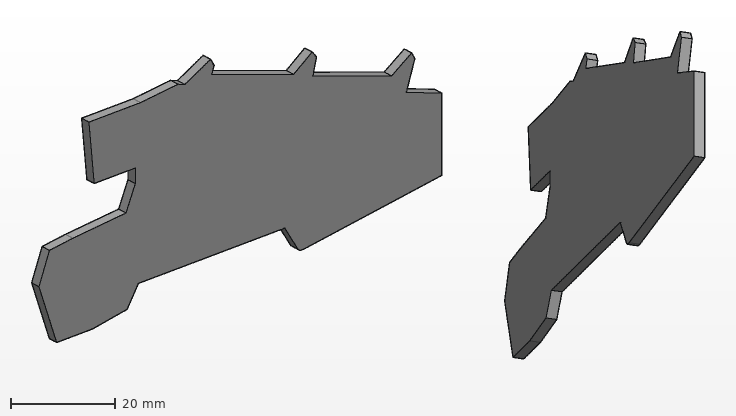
import cadquery as cq

thickness = 2.2
length = 100.9
height = 48.3

roof_z = 44.7
mouth_top_z = 31.1
mouth_back_y = 24.1
belly_z = 6.1

rear_edge = [(length, 4.6), (length, 22.3)]

rear_spine = [(92.0, 25.3), (94.1, 31.9), (93.3, 33.4), (88.3, 30.1)]
middle_spine = [(68.6, 36.4), (69.5, 40.2), (68.4, 41.7), (63.7, 38.3)]
front_spine = [(43.3, 45.0), (43.9, 46.7), (43.0, height), (36.5, 45.0)]

upper_jaw = [
    (34.8, 45.6),
    (25.4, roof_z),
    (12.5, roof_z),
    (13.8, mouth_top_z),
]
mouth = [
    (mouth_back_y, mouth_top_z),
    (mouth_back_y, 27.7),
    (21.8, 22.2),
]
lower_jaw = [
    (8.5, 21.1),
    (2.6, 20.4),
    (0, 13.4),
    (4.4, 0),
    (13.4, 0),
    (22.1, 1.4),
]
belly = [(24.9, belly_z), (61.5, belly_z)]
rear_foot = [(64.9, 0.4), (65.4, 0), (66.3, 0)]

outline = (
    rear_edge
    + rear_spine
    + middle_spine
    + front_spine
    + upper_jaw
    + mouth
    + lower_jaw
    + belly
    + rear_foot
)

result = (
    cq.Workplane("YZ")
    .polyline(outline)
    .close()
    .extrude(thickness / 2, both=True)
)